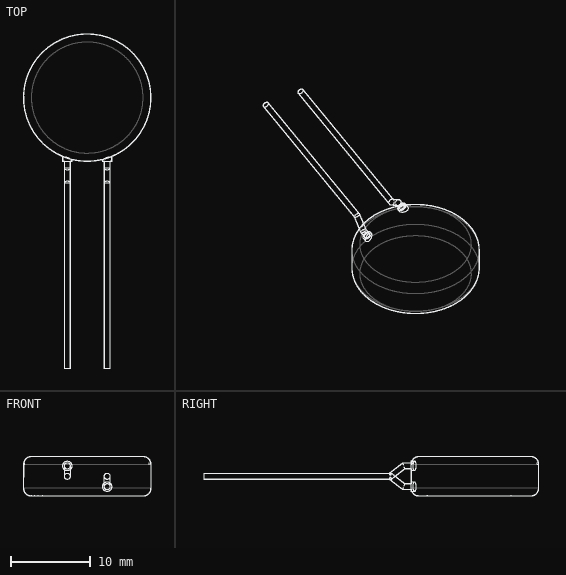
import cadquery as cq

overall_length = 42.0

disc_diameter = 16.0
disc_thickness = 5.0
disc_edge_radius = 1.0
disc_radius = disc_diameter / 2

lead_diameter = 0.75
lead_pitch = 5.0
lead_exit_height = 1.3
exit_length = 0.92
bend_length = 1.7

collar_diameter = 1.18
collar_length = 2.0

collar_face_y = -disc_radius
first_bend_y = collar_face_y - exit_length
second_bend_y = first_bend_y - bend_length
lead_tip_y = disc_radius - overall_length

lead_exits = [
    (-lead_pitch / 2, lead_exit_height),
    (lead_pitch / 2, -lead_exit_height),
]


def make_collar(x, z):
    """Round collar that ends level with the front of the disc and runs back into it."""
    collar_plane = cq.Plane(origin=(x, collar_face_y, z), xDir=(1, 0, 0), normal=(0, 1, 0))
    return cq.Workplane(collar_plane).circle(collar_diameter / 2).extrude(collar_length)


def make_housing():
    """Disc with rounded rims and one collar for each lead."""
    disc = (
        cq.Workplane("XY")
        .circle(disc_radius)
        .extrude(disc_thickness)
        .translate((0, 0, -disc_thickness / 2))
        .edges("%CIRCLE")
        .fillet(disc_edge_radius)
    )
    for x, z in lead_exits:
        disc = disc.union(make_collar(x, z))
    return disc.solids()


def make_lead(x, z):
    """Round wire with mitred bends that runs from its collar face to the middle plane."""
    path = cq.Workplane("YZ", origin=(x, 0, 0)).polyline([
        (collar_face_y, z),
        (first_bend_y, z),
        (second_bend_y, 0),
        (lead_tip_y, 0),
    ])
    start_plane = cq.Plane(origin=(x, collar_face_y, z), xDir=(1, 0, 0), normal=(0, -1, 0))
    return (
        cq.Workplane(start_plane)
        .circle(lead_diameter / 2)
        .sweep(path, transition="right")
    )


housing = make_housing()
leads = [make_lead(x, z) for x, z in lead_exits]

result = cq.Compound.makeCompound([housing.val(), *[lead.val() for lead in leads]])